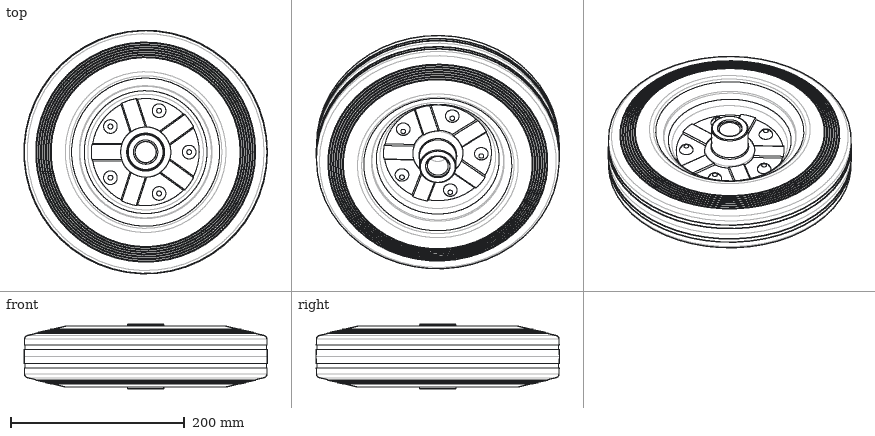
import cadquery as cq
import math


tyre_radius = 140.0
shoulder_radius = 139.5
shoulder_fillet = 4.5
groove_inner_z = 8.0
groove_outer_z = 13.2
groove_radius = 139.0

tyre_half_width = 35.2
sidewall_angle = math.radians(13.8)
dish_angle = math.radians(39)
lip_fillet = 5.5
lip_centre_radius = 91.1

ring_count = 7
ring_pitch = 2.8
first_ring_radius = 109.1
ring_size = 0.55

rim_radius = 85.1
seat_bend_radius = 75.6
seat_bend_z = 22.9
tyre_bore_radius = 70.6
tyre_bore_edge_z = 17.9

dish_bend_outer_radius = 76.4
dish_bend_inner_radius = 66.5
dish_bend_inner_z = 11.9
web_half_thickness = 1.6
web_radius = 61.6

collar_base_radius = 29.0
collar_side_radius = 28.6
collar_side_z = 4.2
collar_round_radius = 6.5
collar_top_radius = 21.8
collar_top_z = 8.7
collar_edge_z = 10.4

spoke_count = 5
rib_half_height = 3.3
rib_base_width = 20.0
rib_top_width = 17.2
rivet_circle_radius = 50.0
rivet_sphere_radius = 8.0
rivet_half_height = 7.5

tube_radius = 21.0
tube_half_length = 37.5
tube_chamfer = 1.0
bore_radius = 12.0
counterbore_radius = 14.0
counterbore_depth = 2.5

lip_centre_z = tyre_half_width - lip_fillet
sidewall_top_radius = lip_centre_radius + lip_fillet * math.sin(sidewall_angle)
sidewall_top_z = lip_centre_z + lip_fillet * math.cos(sidewall_angle)
dish_top_radius = lip_centre_radius - lip_fillet * math.sin(dish_angle)
dish_top_z = lip_centre_z + lip_fillet * math.cos(dish_angle)


def sidewall_z(radius):
    return sidewall_top_z - (radius - sidewall_top_radius) * math.tan(sidewall_angle)


def dish_z(radius):
    """Height of the conical dish face, which crosses from the tyre onto the rim."""
    return dish_top_z - (dish_top_radius - radius) * math.tan(dish_angle)


def seat_points():
    """Outline shared by tyre and rim, from the outer edge of the rim in to the middle plane."""
    return [
        (rim_radius, dish_z(rim_radius)),
        (seat_bend_radius, seat_bend_z),
        (tyre_bore_radius, tyre_bore_edge_z),
        (tyre_bore_radius, 0),
    ]


def revolve_both_halves(half_profile):
    """Revolve an XZ profile about Z and add its mirror image below Z = 0."""
    upper = half_profile.close().revolve(360, (0, 0, 0), (0, 1, 0))
    return upper.union(upper.mirror("XY"))


def make_tyre():
    fillet_centre_radius = shoulder_radius - shoulder_fillet
    fillet_end_radius = fillet_centre_radius + shoulder_fillet * math.sin(sidewall_angle)
    shoulder_z = sidewall_z(fillet_end_radius) - shoulder_fillet * math.cos(sidewall_angle)
    crown_slope = (tyre_radius - shoulder_radius) / shoulder_z

    profile = (
        cq.Workplane("XZ")
        .moveTo(tyre_bore_radius, 0)
        .lineTo(tyre_radius, 0)
        .lineTo(tyre_radius - crown_slope * groove_inner_z, groove_inner_z)
        .lineTo(groove_radius, groove_inner_z)
        .lineTo(groove_radius, groove_outer_z)
        .lineTo(tyre_radius - crown_slope * groove_outer_z, groove_outer_z)
        .lineTo(shoulder_radius, shoulder_z)
        .radiusArc((fillet_end_radius, sidewall_z(fillet_end_radius)), -shoulder_fillet)
    )
    ring_dr = ring_size * math.cos(sidewall_angle)
    ring_dz = ring_size * math.sin(sidewall_angle)
    for index in reversed(range(ring_count)):
        radius = first_ring_radius + index * ring_pitch
        z = sidewall_z(radius)
        profile = (
            profile
            .lineTo(radius + ring_dr, z - ring_dz)
            .threePointArc((radius + ring_dz, z + ring_dr), (radius - ring_dr, z + ring_dz))
        )
    profile = (
        profile
        .lineTo(sidewall_top_radius, sidewall_top_z)
        .threePointArc((lip_centre_radius, tyre_half_width), (dish_top_radius, dish_top_z))
        .polyline(seat_points(), includeCurrent=True)
    )
    return revolve_both_halves(profile)


def make_rim_body():
    bend_outer = (dish_bend_outer_radius, dish_z(dish_bend_outer_radius))
    profile = (
        cq.Workplane("XZ")
        .polyline(list(reversed(seat_points())))
        .lineTo(*bend_outer)
        .tangentArcPoint((dish_bend_inner_radius, dish_bend_inner_z), relative=False)
        .lineTo(web_radius, web_half_thickness)
        .lineTo(collar_base_radius, web_half_thickness)
        .lineTo(collar_side_radius, collar_side_z)
        .radiusArc((collar_top_radius, collar_top_z), -collar_round_radius)
        .lineTo(tube_radius, collar_edge_z)
        .lineTo(tube_radius, 0)
    )
    return revolve_both_halves(profile)


def make_rib():
    """A trapezoidal rib along +X standing on both faces of the web."""
    half_section = [
        (-rib_base_width / 2, 0),
        (-rib_base_width / 2, web_half_thickness),
        (-rib_top_width / 2, rib_half_height),
        (rib_top_width / 2, rib_half_height),
        (rib_base_width / 2, web_half_thickness),
        (rib_base_width / 2, 0),
    ]
    rib_start = (tube_radius + collar_base_radius) / 2
    upper = (
        cq.Workplane("YZ", origin=(rib_start, 0, 0))
        .polyline(half_section)
        .close()
        .extrude(dish_bend_inner_radius - rib_start)
    )
    return upper.union(upper.mirror("XY"))


def make_rivet():
    """A ball with flattened ends, showing as a domed head on each face of the web."""
    slab_size = 2 * rivet_sphere_radius
    slab = cq.Workplane("XY").box(slab_size, slab_size, 2 * rivet_half_height)
    ball = cq.Workplane("XY").sphere(rivet_sphere_radius)
    return ball.intersect(slab).translate((rivet_circle_radius, 0, 0))


def make_rim():
    rim = make_rim_body()
    rib = make_rib()
    rivet = make_rivet()
    for index in range(spoke_count):
        rivet_angle = index * 360 / spoke_count
        rib_angle = rivet_angle + 180
        rim = rim.union(rib.rotate((0, 0, 0), (0, 0, 1), rib_angle))
        rim = rim.union(rivet.rotate((0, 0, 0), (0, 0, 1), rivet_angle))
    return rim


def make_tube():
    tube = (
        cq.Workplane("XY")
        .circle(tube_radius)
        .extrude(tube_half_length, both=True)
        .edges("%CIRCLE and (>Z or <Z)")
        .chamfer(tube_chamfer)
    )
    bore = cq.Workplane("XY").circle(bore_radius).extrude(tube_half_length, both=True)
    counterbore = (
        cq.Workplane("XY", origin=(0, 0, tube_half_length - counterbore_depth))
        .circle(counterbore_radius)
        .extrude(counterbore_depth)
    )
    return tube.cut(bore).cut(counterbore).cut(counterbore.mirror("XY"))


tyre = make_tyre()
rim = make_rim()
axle_tube = make_tube()
result = cq.Compound.makeCompound([tyre.val(), rim.val(), axle_tube.val()])